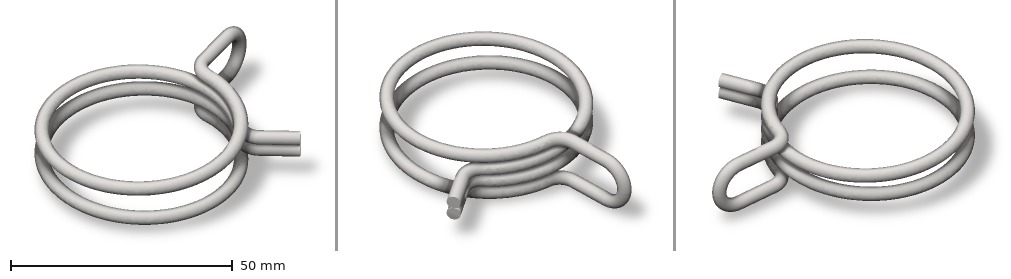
import cadquery as cq
import math

wire_diameter = 3.2
ring_outer_diameter = 48.15
overall_height = 14.3
bend_radius = 4.6
leg_angle = 120.3
ring_end_angle = 109.8
loop_leg_length = 9.9
free_leg_length = 9.2

wire_radius = wire_diameter / 2
ring_radius = ring_outer_diameter / 2 - wire_radius
loop_radius = overall_height / 2 - wire_radius
loop_leg_z = loop_radius
free_leg_z = wire_radius

coil_start_angle = 180 - ring_end_angle
coil_sweep = 360 + ring_end_angle - coil_start_angle
coil_rise = loop_leg_z - free_leg_z
coil_pitch = coil_rise * 360 / coil_sweep


def direction(angle):
    """Horizontal unit vector at an angle in degrees from +X."""
    return cq.Vector(math.cos(math.radians(angle)), math.sin(math.radians(angle)), 0)


def sweep_wire(path, start, heading):
    """Sweep the round wire section along a path."""
    section = cq.Workplane(cq.Plane(start, normal=heading)).circle(wire_radius)
    return section.sweep(path, isFrenet=True)


def make_coil():
    """Rising helix with vertical end faces that match the bends."""
    helix = cq.Wire.makeHelix(coil_pitch, coil_rise, ring_radius)
    helix = helix.rotate(cq.Vector(), cq.Vector(0, 0, 1), coil_start_angle)
    helix = helix.translate(cq.Vector(0, 0, free_leg_z))
    start = direction(coil_start_angle) * ring_radius + cq.Vector(0, 0, free_leg_z)
    return sweep_wire(cq.Workplane(obj=helix), start, direction(coil_start_angle + 90))


def make_leg(length, z, with_loop):
    """Left leg: bend away from the ring, straight part and, if asked, the upper half of the loop."""
    height = cq.Vector(0, 0, z)
    bend_center = direction(ring_end_angle) * (ring_radius + bend_radius) + height
    middle_angle = (ring_end_angle + leg_angle - 90) / 2
    start = bend_center - direction(ring_end_angle) * bend_radius
    middle = bend_center - direction(middle_angle) * bend_radius
    bend_end = bend_center - direction(leg_angle - 90) * bend_radius
    leg_end = bend_end + direction(leg_angle) * length

    edges = [
        cq.Edge.makeThreePointArc(start, middle, bend_end),
        cq.Edge.makeLine(bend_end, leg_end),
    ]
    if with_loop:
        tip = leg_end + direction(leg_angle) * loop_radius - cq.Vector(0, 0, loop_radius)
        edges.append(cq.Edge.makeTangentArc(leg_end, direction(leg_angle), tip))

    path = cq.Workplane(obj=cq.Wire.assembleEdges(edges))
    return sweep_wire(path, start, direction(ring_end_angle + 90))


loop_leg = make_leg(loop_leg_length, loop_leg_z, with_loop=True)
free_leg = make_leg(free_leg_length, free_leg_z, with_loop=False).mirror("YZ")
upper_half = make_coil().union(loop_leg).union(free_leg)
result = upper_half.union(upper_half.mirror("XY"))